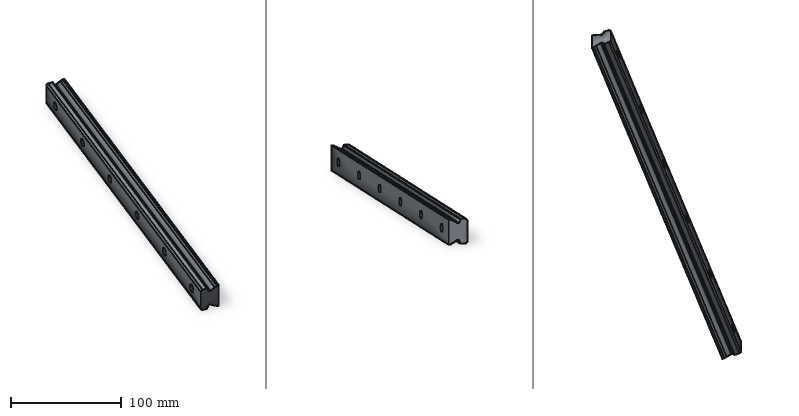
import cadquery as cq
import math

length = 340.0
depth = 18.0
height = 23.0
half_height = height / 2

chamfer = 1.7

front_lip = 6.5
floor_front = 8.0
floor_back = 9.5
ramp_back = 14.0
back_lip = 16.0

groove_depth = 3.7
ramp_angle = math.radians(30)
ramp_back_depth = groove_depth - (ramp_back - floor_back) * math.tan(ramp_angle)
front_wall_depth = groove_depth - (floor_front - front_lip) / math.tan(ramp_angle)
shelf_radius = 3.0

hole_count = 6
end_margin = 20.0
hole_pitch = (length - 2 * end_margin) / (hole_count - 1)
hole_diameter = 7.0


def upper_half():
    """Section above mid-height, from the front face round to the back face."""
    half_section = (
        cq.Workplane("YZ")
        .lineTo(0, half_height - chamfer)
        .lineTo(chamfer, half_height)
        .lineTo(front_lip, half_height)
        .lineTo(front_lip, half_height - front_wall_depth)
        .lineTo(floor_front, half_height - groove_depth)
        .lineTo(floor_back, half_height - groove_depth)
        .lineTo(ramp_back, half_height - ramp_back_depth)
        .radiusArc((back_lip, half_height), -shelf_radius)
        .lineTo(depth, half_height)
        .lineTo(depth, 0)
        .close()
    )
    return half_section.extrude(length)


def mounting_holes():
    """Row of plain cylinders through the full depth of the rail."""
    return (
        cq.Workplane("XZ")
        .center(length / 2, 0)
        .rarray(hole_pitch, 3.5, hole_count, 1)
        .circle(hole_diameter / 2)
        .extrude(-depth)
    )


upper = upper_half()
rail = upper.union(upper.mirror("XY")).clean()
result = rail.cut(mounting_holes())